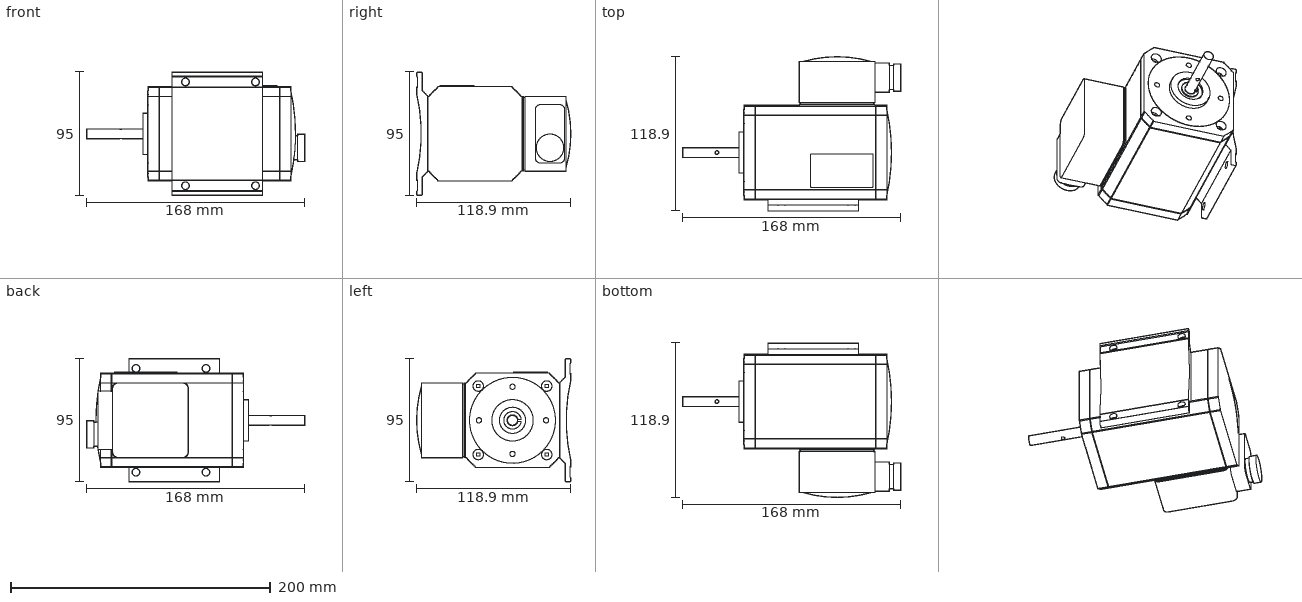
import cadquery as cq
import math

OVERLAP = 0.8

BODY_LENGTH = 109.9
BODY_HALF = 36.5
CORNER_START = 28.5
CORNER_STEP = 0.8
CORNER_STEP_SLANT = 0.3
END_CAP_LENGTH = 8.4
JOINT_WIDTH = 0.5
JOINT_DEPTH = 0.3

DISC_RADIUS = 33.1
DISC_HEIGHT = 0.3
PILOT_RADIUS = 16.0
PILOT_HEIGHT = 4.0
RECESS_RADIUS = 10.0
RECESS_DEPTH = 1.7
COLLAR_RADIUS = 6.7
COLLAR_BORE_RADIUS = 4.2
COLLAR_HEIGHT = 1.0
COLLAR_GAP = 1.5
TAP_CIRCLE_RADIUS = 25.9
TAP_RADIUS = 2.0
TAP_DEPTH = 6.7
TAP_COUNT = 4
DRILL_POINT_HALF_ANGLE = 59.0

SCREW_OFFSET = 26.4
SCREW_HOLE_RADIUS = 4.0
SCREW_HOLE_DEPTH = 7.5
SCREW_HEAD_HEIGHT = 2.2
SCREW_TOP_RADIUS = 2.4
SCREW_SOCKET_SIDE = 2.4
SCREW_SOCKET_DEPTH = 1.3

SHAFT_RADIUS = 3.9
SHAFT_REACH = 47.4
PIN_HOLE_POSITION = 21.0
PIN_HOLE_DIAMETER = 2.7

REAR_DOME_RADIUS = 33.5
REAR_DOME_HEIGHT = 3.7

FOOT_START = 18.3
FOOT_LENGTH = 69.9
FOOT_TOP = 40.5
FOOT_BOTTOM = 45.0
FOOT_WIDTH = 95.0
FOOT_NECK_HALF_WIDTH = 29.0
FOOT_SHOULDER_HALF_WIDTH = 33.3
FOOT_RELIEF_OUTER = 44.4
FOOT_RELIEF_INNER = 35.6
FOOT_RELIEF_DEPTH = 0.7
FOOT_HOLLOW_HALF_WIDTH = 30.9
FOOT_HOLLOW_DEPTH = 3.5
FOOT_EDGE_RADIUS = 1.0
FOOT_HOLE_INSET = 10.5
FOOT_HOLE_SPACING_X = 54.0
FOOT_HOLE_SPACING_Z = 80.0
FOOT_HOLE_DIAMETER = 5.7

PLATE_START = 51.0
PLATE_LENGTH = 48.2
PLATE_WIDTH = 26.0
PLATE_CENTRE_Y = -14.0
PLATE_THICKNESS = 0.7
PLATE_CORNER_RADIUS = 1.0

BOX_START = 42.3
BOX_LENGTH = 58.5
BOX_WIDTH = 57.8
BOX_CORNER_RADIUS = 4.2
BOX_BOTTOM = 38.5
BOX_TOP = 70.2
BOX_NECK_INSET = 0.8
BOX_BASE_INSET = 0.3
BOX_BASE_TOP = 37.5
BOX_DOME_RADIUS = 26.0
BOX_DOME_HEIGHT = 3.7

GLAND_Y = 57.8
GLAND_Z = -10.8
GLAND_BLOCK_WIDTH = 22.7
GLAND_BLOCK_HEIGHT = 45.0
GLAND_BLOCK_LENGTH = 11.1
GLAND_BLOCK_RADIUS = 4.0
GLAND_NECK_RADIUS = 9.4
GLAND_NECK_LENGTH = 3.2
GLAND_NUT_RADIUS = 10.5
GLAND_NUT_LENGTH = 5.5


def section(x, y=0, z=0):
    """Workplane facing +X at a place along the shaft: local x is Y, local y is Z."""
    return cq.Workplane("YZ", origin=(x, y, z))


def disc(x, radius, length, y=0, z=0):
    return section(x, y, z).circle(radius).extrude(length)


def dome(base_radius, height):
    """Spherical cap along +Y, standing on a short plug sunk below Y = 0."""
    sphere_radius = (base_radius ** 2 + height ** 2) / (2 * height)
    half_radius = base_radius / 2
    half_height = height - sphere_radius + math.sqrt(sphere_radius ** 2 - half_radius ** 2)
    return (
        cq.Workplane("XY")
        .moveTo(0, -OVERLAP)
        .lineTo(base_radius, -OVERLAP)
        .lineTo(base_radius, 0)
        .threePointArc((half_radius, half_height), (0, height))
        .close()
        .revolve(360, (0, 0, 0), (0, 1, 0))
    )


def housing_section(x, length, inset):
    """Square section with stepped, gently curved corners."""
    flat = BODY_HALF - inset
    curve_far = BODY_HALF - CORNER_STEP - inset
    curve_near = CORNER_START + CORNER_STEP_SLANT
    curve_mid = math.hypot(curve_far, curve_near) / math.sqrt(2)
    outline = section(x).moveTo(flat, -CORNER_START)
    for quarter in range(4):
        cos = round(math.cos(quarter * math.pi / 2))
        sin = round(math.sin(quarter * math.pi / 2))

        def turned(u, v):
            return u * cos - v * sin, u * sin + v * cos

        outline = (
            outline.lineTo(*turned(flat, CORNER_START))
            .lineTo(*turned(curve_far, curve_near))
            .threePointArc(turned(curve_mid, curve_mid), turned(curve_near, curve_far))
            .lineTo(*turned(CORNER_START, flat))
        )
    return outline.close().extrude(length)


def housing():
    body = housing_section(0, BODY_LENGTH, 0)
    for joint in (END_CAP_LENGTH, BODY_LENGTH - END_CAP_LENGTH):
        start = joint - JOINT_WIDTH / 2
        ring = housing_section(start, JOINT_WIDTH, 0).cut(housing_section(start, JOINT_WIDTH, JOINT_DEPTH))
        body = body.cut(ring)
    rear_dome = (
        dome(REAR_DOME_RADIUS, REAR_DOME_HEIGHT)
        .rotate((0, 0, 0), (0, 0, 1), -90)
        .translate((BODY_LENGTH, 0, 0))
    )
    return body.union(rear_dome)


def front_boss():
    """Raised disc and pilot, with a split collar in the pilot's recess."""
    recess_floor = RECESS_DEPTH - PILOT_HEIGHT
    boss = disc(OVERLAP, DISC_RADIUS, -DISC_HEIGHT - OVERLAP)
    boss = boss.union(disc(OVERLAP, PILOT_RADIUS, -PILOT_HEIGHT - OVERLAP))
    boss = boss.cut(disc(recess_floor, RECESS_RADIUS, -RECESS_DEPTH))
    collar = section(recess_floor).circle(COLLAR_RADIUS).circle(COLLAR_BORE_RADIUS).extrude(-COLLAR_HEIGHT)
    gap = section(recess_floor, y=-COLLAR_RADIUS / 2).rect(COLLAR_RADIUS, COLLAR_GAP).extrude(-COLLAR_HEIGHT)
    return boss.union(collar.cut(gap))


def tapped_hole():
    """Blind hole on the shaft axis with a conical drill point."""
    point_depth = TAP_RADIUS / math.tan(math.radians(DRILL_POINT_HALF_ANGLE))
    return (
        cq.Workplane("XY")
        .moveTo(-DISC_HEIGHT, 0)
        .lineTo(-DISC_HEIGHT, TAP_RADIUS)
        .lineTo(TAP_DEPTH, TAP_RADIUS)
        .lineTo(TAP_DEPTH + point_depth, 0)
        .close()
        .revolve(360, (0, 0, 0), (1, 0, 0))
    )


def screw_pocket():
    """Hole on the shaft axis, minus the domed screw head at its bottom."""
    head_top = SCREW_HOLE_DEPTH - SCREW_HEAD_HEIGHT
    bulge = (SCREW_HOLE_RADIUS - SCREW_TOP_RADIUS) * math.sqrt(0.5)
    arc_mid = (
        SCREW_HOLE_DEPTH - SCREW_HEAD_HEIGHT * math.sqrt(0.5),
        SCREW_TOP_RADIUS + bulge,
    )
    pocket = (
        cq.Workplane("XY")
        .moveTo(-DISC_HEIGHT, 0)
        .lineTo(-DISC_HEIGHT, SCREW_HOLE_RADIUS)
        .lineTo(SCREW_HOLE_DEPTH, SCREW_HOLE_RADIUS)
        .threePointArc(arc_mid, (head_top, SCREW_TOP_RADIUS))
        .lineTo(head_top, 0)
        .close()
        .revolve(360, (0, 0, 0), (1, 0, 0))
    )
    socket = section(head_top).rect(SCREW_SOCKET_SIDE, SCREW_SOCKET_SIDE).extrude(SCREW_SOCKET_DEPTH)
    return pocket.union(socket)


def front_holes():
    holes = cq.Workplane("XY")
    for index in range(TAP_COUNT):
        tap = tapped_hole().translate((0, TAP_CIRCLE_RADIUS, 0))
        holes = holes.add(tap.rotate((0, 0, 0), (1, 0, 0), index * 360 / TAP_COUNT))
    for y_side in (-1, 1):
        for z_side in (-1, 1):
            holes = holes.add(screw_pocket().translate((0, y_side * SCREW_OFFSET, z_side * SCREW_OFFSET)))
    return holes.combine()


def shaft():
    bar = disc(-SHAFT_REACH, SHAFT_RADIUS, SHAFT_REACH + OVERLAP)
    pin_hole = (
        cq.Workplane("XY", origin=(-PIN_HOLE_POSITION, 0, 0))
        .circle(PIN_HOLE_DIAMETER / 2)
        .extrude(SHAFT_RADIUS, both=True)
    )
    return bar.cut(pin_hole)


def foot():
    """Extruded foot: a neck under the housing, two wings and a hollow underside."""
    relief_level = FOOT_RELIEF_DEPTH - FOOT_BOTTOM
    upper_half = [
        (-BODY_HALF + OVERLAP, FOOT_NECK_HALF_WIDTH - OVERLAP),
        (-BODY_HALF, FOOT_NECK_HALF_WIDTH),
        (-FOOT_TOP, FOOT_SHOULDER_HALF_WIDTH),
        (-FOOT_TOP, FOOT_WIDTH / 2),
        (-FOOT_BOTTOM, FOOT_WIDTH / 2),
        (-FOOT_BOTTOM, FOOT_RELIEF_OUTER),
        (relief_level, FOOT_RELIEF_OUTER - FOOT_RELIEF_DEPTH),
        (relief_level, FOOT_RELIEF_INNER),
        (-FOOT_BOTTOM, FOOT_RELIEF_INNER + FOOT_RELIEF_DEPTH / 2),
        (-FOOT_BOTTOM, FOOT_HOLLOW_HALF_WIDTH),
    ]
    lower_half = [(y, -z) for y, z in reversed(upper_half)]
    profile = (
        section(FOOT_START)
        .polyline(upper_half)
        .threePointArc((FOOT_HOLLOW_DEPTH - FOOT_BOTTOM, 0), lower_half[0])
    )
    for point in lower_half[1:]:
        profile = profile.lineTo(*point)
    body = profile.close().extrude(FOOT_LENGTH)
    for side in (">Z", "<Z"):
        body = body.faces(side).edges("|X").fillet(FOOT_EDGE_RADIUS)
    holes = (
        cq.Workplane("XZ", origin=(FOOT_START + FOOT_HOLE_INSET + FOOT_HOLE_SPACING_X / 2, -BODY_HALF, 0))
        .rarray(FOOT_HOLE_SPACING_X, FOOT_HOLE_SPACING_Z, 2, 2)
        .circle(FOOT_HOLE_DIAMETER / 2)
        .extrude(FOOT_BOTTOM - BODY_HALF)
    )
    return body.cut(holes)


def name_plate():
    return (
        cq.Workplane("XY", origin=(PLATE_START + PLATE_LENGTH / 2, PLATE_CENTRE_Y, BODY_HALF - OVERLAP))
        .rect(PLATE_LENGTH, PLATE_WIDTH)
        .extrude(PLATE_THICKNESS + OVERLAP)
        .edges("|Z")
        .fillet(PLATE_CORNER_RADIUS)
    )


def box_layer(bottom, top, inset):
    """Slab of the terminal box between two levels, drawn in from its sides."""
    return (
        cq.Workplane("XZ", origin=(BOX_START + BOX_LENGTH / 2, bottom, 0))
        .rect(BOX_LENGTH - 2 * inset, BOX_WIDTH - 2 * inset)
        .extrude(bottom - top)
        .edges("|Y")
        .fillet(BOX_CORNER_RADIUS - inset)
    )


def terminal_box():
    box = box_layer(BOX_BOTTOM, BOX_TOP, 0)
    box = box.union(box_layer(BODY_HALF - OVERLAP, BOX_BASE_TOP, BOX_BASE_INSET))
    box = box.union(box_layer(BOX_BASE_TOP, BOX_BOTTOM, BOX_NECK_INSET))
    lid = dome(BOX_DOME_RADIUS, BOX_DOME_HEIGHT).translate((BOX_START + BOX_LENGTH / 2, BOX_TOP, 0))
    return box.union(lid)


def cable_gland():
    block_start = BOX_START + BOX_LENGTH
    neck_start = block_start + GLAND_BLOCK_LENGTH
    nut_start = neck_start + GLAND_NECK_LENGTH
    block = (
        section(block_start - OVERLAP, GLAND_Y)
        .rect(GLAND_BLOCK_WIDTH, GLAND_BLOCK_HEIGHT)
        .extrude(GLAND_BLOCK_LENGTH + OVERLAP)
        .edges("|X")
        .fillet(GLAND_BLOCK_RADIUS)
    )
    neck = disc(neck_start, GLAND_NECK_RADIUS, GLAND_NECK_LENGTH, GLAND_Y, GLAND_Z)
    nut = disc(nut_start, GLAND_NUT_RADIUS, GLAND_NUT_LENGTH, GLAND_Y, GLAND_Z)
    return block.union(neck).union(nut)


result = (
    housing()
    .union(front_boss())
    .cut(front_holes())
    .union(shaft())
    .union(foot())
    .union(name_plate())
    .union(terminal_box())
    .union(cable_gland())
)